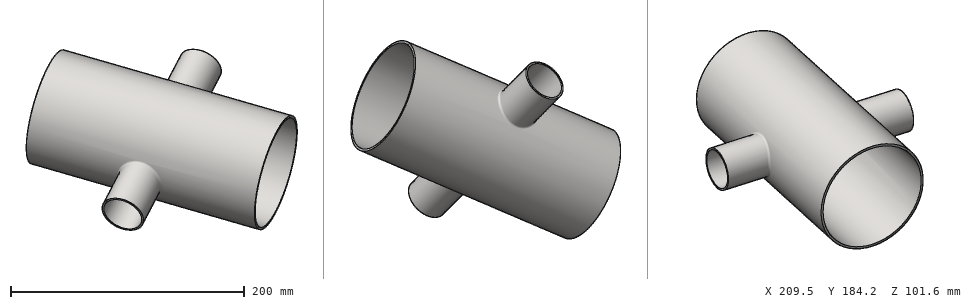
import cadquery as cq

RUN_LENGTH = 209.5
RUN_OUTER_DIAMETER = 101.6
RUN_INNER_DIAMETER = 97.5

BRANCH_SPAN = 184.2
BRANCH_OUTER_DIAMETER = 38.1
BRANCH_INNER_DIAMETER = 34.8

WELD_RADIUS = 1.7


def cylinder_along(plane, diameter, length):
    """Solid cylinder centred on the origin, with its axis normal to the plane."""
    return cq.Workplane(plane).circle(diameter / 2).extrude(length / 2, both=True)


def outer_cross():
    """Solid outside of both pipes, with a weld fillet around each branch."""
    run = cylinder_along("YZ", RUN_OUTER_DIAMETER, RUN_LENGTH)
    branches = cylinder_along("XZ", BRANCH_OUTER_DIAMETER, BRANCH_SPAN)

    joint_box = cq.selectors.BoxSelector(
        (-BRANCH_OUTER_DIAMETER, -RUN_OUTER_DIAMETER / 2 - WELD_RADIUS, -BRANCH_OUTER_DIAMETER),
        (BRANCH_OUTER_DIAMETER, RUN_OUTER_DIAMETER / 2 + WELD_RADIUS, BRANCH_OUTER_DIAMETER),
        boundingbox=True,
    )
    return run.union(branches).edges(joint_box).fillet(WELD_RADIUS)


run_bore = cylinder_along("YZ", RUN_INNER_DIAMETER, RUN_LENGTH)
branch_bore = cylinder_along("XZ", BRANCH_INNER_DIAMETER, BRANCH_SPAN)

result = outer_cross().cut(run_bore).cut(branch_bore)